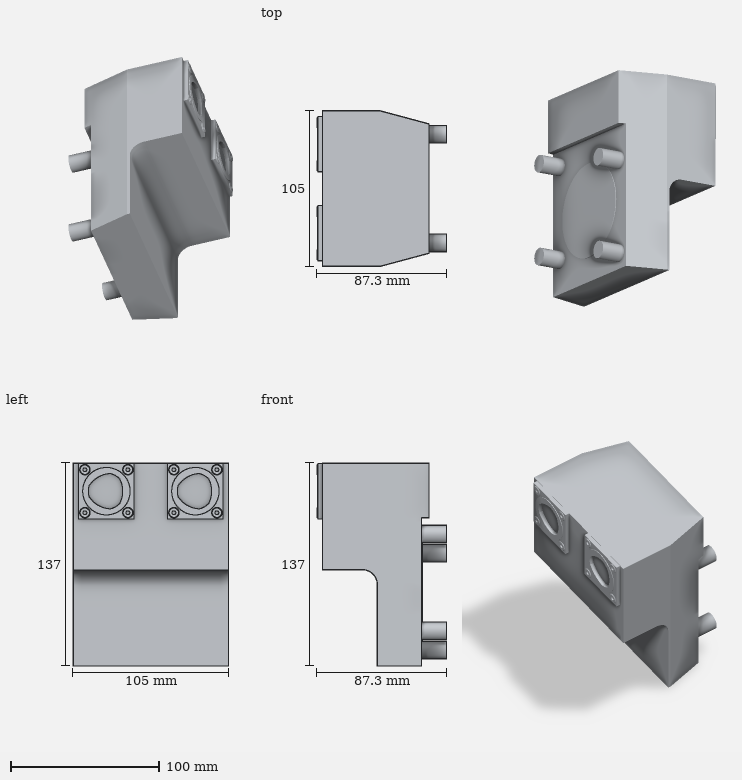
import cadquery as cq
import math

WIDTH = 105.0
HEIGHT = 137.0
HEAD_DEPTH = 72.0
TAPER_START = 39.0
TAPER_ANGLE = 15.0
FRONT_STEP_DEPTH = 37.0
FRONT_STEP_HEIGHT = 65.0
FRONT_STEP_RADIUS = 10.0
MOUNT_FACE_X = 67.0
BACK_STEP_HEIGHT = 100.0

PIN_DIAMETER = 12.0
PIN_LENGTH = 16.8
PIN_SIDE_OFFSET = 36.6
PIN_ROW_SPACING = 65.2
PIN_STAGGER = 13.0
PIN_CENTRE_HEIGHT = 50.0
DISC_DIAMETER = 66.0
DISC_THICKNESS = 0.5

FLANGE_SIZE = 37.5
FLANGE_THICKNESS = 3.0
FLANGE_TOP_MARGIN = 0.25
FLANGE_SIDE_OFFSET = 30.0
RING_DIAMETER = 32.0
RING_HEIGHT = 0.4
SCREW_SPACING = 29.0
SCREW_HEAD_DIAMETER = 7.0
SCREW_HEAD_HEIGHT = 0.5
SCREW_HEAD_CHAMFER = 0.3
SCREW_SOCKET_DIAMETER = 2.6
SCREW_SOCKET_DEPTH = 1.0

LOBE_COUNT = 3
LOBE_RADIUS = 12.2
LOBE_HALF_ANGLE = 18.0
LOBE_SIDE_DISTANCE = 11.0
LOBE_SOCKET_DEPTH = 2.8


def make_housing():
    """Stepped side profile, trimmed to the tapered plan outline."""
    profile = (
        cq.Workplane("XZ")
        .moveTo(0, HEIGHT)
        .lineTo(HEAD_DEPTH, HEIGHT)
        .lineTo(HEAD_DEPTH, BACK_STEP_HEIGHT)
        .lineTo(MOUNT_FACE_X, BACK_STEP_HEIGHT)
        .lineTo(MOUNT_FACE_X, 0)
        .lineTo(FRONT_STEP_DEPTH, 0)
        .lineTo(FRONT_STEP_DEPTH, FRONT_STEP_HEIGHT - FRONT_STEP_RADIUS)
        .radiusArc((FRONT_STEP_DEPTH - FRONT_STEP_RADIUS, FRONT_STEP_HEIGHT), -FRONT_STEP_RADIUS)
        .lineTo(0, FRONT_STEP_HEIGHT)
        .close()
        .extrude(WIDTH / 2, both=True)
    )
    half_width = WIDTH / 2
    taper_run = HEAD_DEPTH - TAPER_START
    back_half_width = half_width - taper_run * math.tan(math.radians(TAPER_ANGLE))
    plan = (
        cq.Workplane("XY")
        .polyline([
            (0, -half_width),
            (TAPER_START, -half_width),
            (HEAD_DEPTH, -back_half_width),
            (HEAD_DEPTH, back_half_width),
            (TAPER_START, half_width),
            (0, half_width),
        ])
        .close()
        .extrude(HEIGHT)
    )
    return profile.intersect(plan)


def make_mounting_features():
    """Four staggered pins and the locating disc on the mounting face."""
    pin_points = [
        (side * PIN_SIDE_OFFSET, PIN_CENTRE_HEIGHT - side * PIN_STAGGER / 2 + row * PIN_ROW_SPACING / 2)
        for side in (-1, 1)
        for row in (-1, 1)
    ]
    mount_plane = cq.Workplane("YZ", origin=(MOUNT_FACE_X, 0, 0))
    pins = mount_plane.pushPoints(pin_points).circle(PIN_DIAMETER / 2).extrude(PIN_LENGTH)
    disc = mount_plane.center(0, PIN_CENTRE_HEIGHT).circle(DISC_DIAMETER / 2).extrude(DISC_THICKNESS)
    return pins.union(disc)


def lobe_point(radius, angle):
    """Point in the connector face at a polar position, with angles in degrees."""
    return (radius * math.cos(math.radians(angle)), radius * math.sin(math.radians(angle)))


def make_lobed_socket(plane):
    """Solid of the three-lobed socket: bowed sides alternating with lobe tips."""
    pitch = 360 / LOBE_COUNT
    outline = plane.moveTo(*lobe_point(LOBE_RADIUS, -LOBE_HALF_ANGLE))
    for index in range(LOBE_COUNT):
        tip = index * pitch
        outline = outline.threePointArc(
            lobe_point(LOBE_RADIUS, tip),
            lobe_point(LOBE_RADIUS, tip + LOBE_HALF_ANGLE),
        )
        outline = outline.threePointArc(
            lobe_point(LOBE_SIDE_DISTANCE, tip + pitch / 2),
            lobe_point(LOBE_RADIUS, tip + pitch - LOBE_HALF_ANGLE),
        )
    return outline.close().extrude(-LOBE_SOCKET_DEPTH)


def make_connector(centre_y):
    """Flange with raised ring, four socket screw heads and the lobed socket."""
    centre_z = HEIGHT - FLANGE_TOP_MARGIN - FLANGE_SIZE / 2

    def face_plane(distance):
        """Workplane a given distance ahead of the front face, facing -X, with its x axis along +Y."""
        origin = (-distance, centre_y, centre_z)
        return cq.Workplane(cq.Plane(origin=origin, xDir=(0, 1, 0), normal=(-1, 0, 0)))

    flange = face_plane(0).rect(FLANGE_SIZE, FLANGE_SIZE).extrude(FLANGE_THICKNESS)
    ring = face_plane(FLANGE_THICKNESS).circle(RING_DIAMETER / 2).extrude(RING_HEIGHT)
    heads = (
        face_plane(FLANGE_THICKNESS)
        .rect(SCREW_SPACING, SCREW_SPACING, forConstruction=True)
        .vertices()
        .circle(SCREW_HEAD_DIAMETER / 2)
        .extrude(SCREW_HEAD_HEIGHT)
        .faces("<X")
        .edges()
        .chamfer(SCREW_HEAD_CHAMFER)
    )
    screw_sockets = (
        face_plane(FLANGE_THICKNESS + SCREW_HEAD_HEIGHT)
        .rect(SCREW_SPACING, SCREW_SPACING, forConstruction=True)
        .vertices()
        .circle(SCREW_SOCKET_DIAMETER / 2)
        .extrude(-SCREW_SOCKET_DEPTH)
    )
    lobed_socket = make_lobed_socket(face_plane(FLANGE_THICKNESS + RING_HEIGHT))
    return flange.union(ring).union(heads).cut(screw_sockets).cut(lobed_socket)


result = make_housing().union(make_mounting_features())
for side in (-1, 1):
    result = result.union(make_connector(side * FLANGE_SIDE_OFFSET))